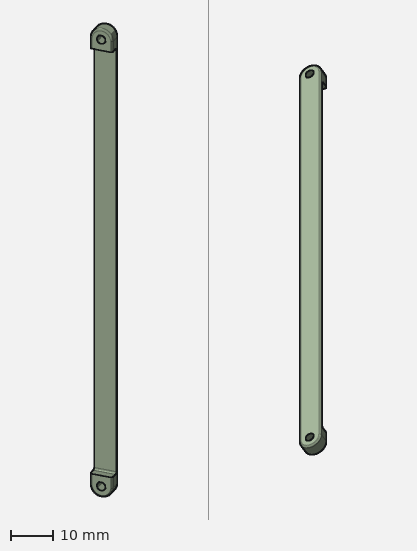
import cadquery as cq

width = 5.75
length = 124.5
thickness = 3.5
strap_thickness = 1.0
hole_diameter = 2.2
fillet_radius = 0.5

pad_length = width
gap_length = length - 2 * pad_length
hole_spacing = length - width
back_y = thickness / 2
front_y = -thickness / 2
strap_front_y = back_y - strap_thickness


def make_bar():
    """Full-thickness bar with round ends and filleted rims on its front and back faces."""
    bar = (
        cq.Workplane("XZ", origin=(0, back_y, 0))
        .slot2D(length, width, 90)
        .extrude(thickness)
    )
    return bar.faces("<Y or >Y").edges().fillet(fillet_radius)


def make_gap():
    """Material removed between the pads, rounded where each pad meets the strap."""
    gap = (
        cq.Workplane("XZ", origin=(0, strap_front_y, 0))
        .rect(width, gap_length)
        .extrude(strap_front_y - front_y)
    )
    return gap.faces(">Y").edges("|X").fillet(fillet_radius)


def make_holes():
    """One through hole on the axis of each round end."""
    return (
        cq.Workplane("XZ", origin=(0, back_y, 0))
        .pushPoints([(0, -hole_spacing / 2), (0, hole_spacing / 2)])
        .circle(hole_diameter / 2)
        .extrude(thickness)
    )


result = make_bar().cut(make_gap()).cut(make_holes())